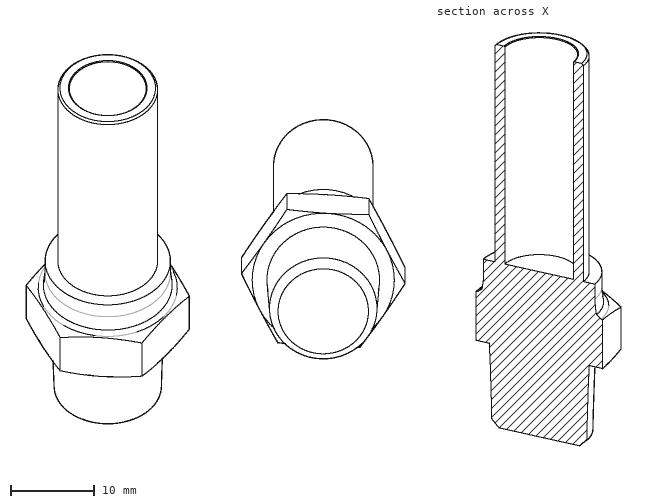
import cadquery as cq
import math

total_height = 51.1
thread_chamfer_height = 1.0
hex_bottom = 11.0
hex_top = 17.6
collar_taper_bottom = 18.05
collar_taper_top = 20.1
collar_top = 22.1

across_flats = 17.0
hex_corner_radius = across_flats / math.sqrt(3)
hex_bevel_height = 0.5
hex_top_face_radius = 8.35
hex_bottom_face_radius = across_flats / 2

thread_end_radius = 5.4
thread_small_radius = 6.45
thread_large_radius = 6.75
collar_base_radius = 7.7
collar_radius = 7.5
tube_radius = 6.0
tube_edge_chamfer = 0.25

bore_radius = 4.6
bore_depth = total_height - collar_top
bore_edge_chamfer = 0.1


def revolved(profile):
    """Revolve a closed (radius, height) profile about the Z axis."""
    return cq.Workplane("XZ").polyline(profile).close().revolve(360, (0, 0), (0, 1))


def hex_grip():
    """Hexagonal prism with its corners bevelled by a cone at each end."""
    prism = (
        cq.Workplane("XY")
        .workplane(offset=hex_bottom)
        .polygon(6, 2 * hex_corner_radius)
        .extrude(hex_top - hex_bottom)
    )
    bevel_envelope = revolved([
        (0, hex_bottom),
        (hex_bottom_face_radius, hex_bottom),
        (hex_corner_radius, hex_bottom + hex_bevel_height),
        (hex_corner_radius, hex_top - hex_bevel_height),
        (hex_top_face_radius, hex_top),
        (0, hex_top),
    ])
    return prism.intersect(bevel_envelope)


def tapered_thread():
    """Plain tapered thread body with a chamfered end."""
    return revolved([
        (0, 0),
        (thread_end_radius, 0),
        (thread_small_radius, thread_chamfer_height),
        (thread_large_radius, hex_bottom),
        (0, hex_bottom),
    ])


def collar():
    """Collar that flares out to meet the top of the hexagon."""
    return revolved([
        (0, hex_top),
        (hex_top_face_radius, hex_top),
        (collar_base_radius, collar_taper_bottom),
        (collar_radius, collar_taper_top),
        (collar_radius, collar_top),
        (0, collar_top),
    ])


def tube():
    """Tube stub with a chamfered outer edge."""
    return (
        cq.Workplane("XY")
        .workplane(offset=collar_top)
        .circle(tube_radius)
        .extrude(total_height - collar_top)
        .faces(">Z")
        .chamfer(tube_edge_chamfer)
    )


def bore():
    """Blind bore with a small chamfer at its mouth."""
    return revolved([
        (0, total_height - bore_depth),
        (bore_radius, total_height - bore_depth),
        (bore_radius, total_height - bore_edge_chamfer),
        (bore_radius + bore_edge_chamfer, total_height),
        (0, total_height),
    ])


result = tapered_thread().union(hex_grip()).union(collar()).union(tube()).cut(bore())